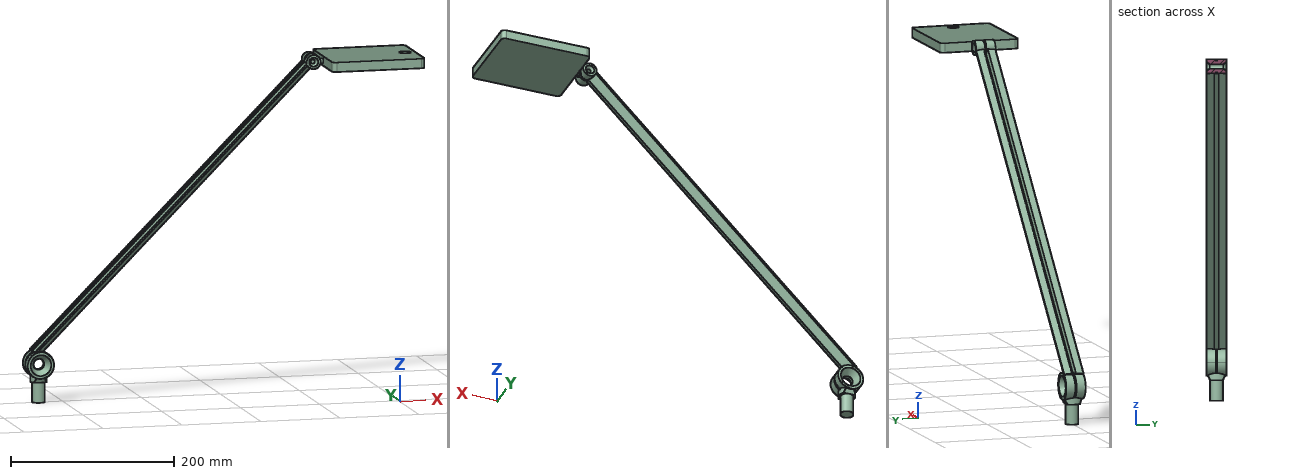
import cadquery as cq
import math

ARM_ANGLE = 45.0
WIDTH = 25.0
SLIT_WIDTH = 1.5
SLIT_DEPTH = 1.5

BASE_RADIUS = 16.7
BASE_BORE = 13.4
BASE_DISH = 26.0
BASE_DISH_DEPTH = 10.0
POST_DIAMETER = 16.0
POST_BOTTOM = -47.3
COLLAR_BOTTOM = -22.0
COLLAR_LENGTH = 20.2
COLLAR_FLARE_HEIGHT = 9.0

ARM_THICKNESS = 10.0
ARM_EDGE = 2.4
ARM_BOTTOM_WIDTH = 5.0
ARM_START = 5.9
ARM_CROWN = 0.8
ARM_GROOVE_WIDTH = 5.0
ARM_GROOVE_FLOOR = 2.0
ARM_GROOVE_DEPTH = 5.5

HEAD_X = 345.5
HEAD_RADIUS = 8.9
HEAD_BORE = 5.25
HEAD_DISH = 11.25
HEAD_DISH_DEPTH = 4.0

TOTAL_LENGTH = 493.64
TOTAL_HEIGHT = 419.16
PLATE_START = 360.0
PLATE_END = TOTAL_LENGTH - BASE_RADIUS
PLATE_WIDTH = 100.6
PLATE_THICKNESS = 12.0
PLATE_CORNER = 5.0
STEM_DIAMETER = 6.5
STEM_ENGAGEMENT = 1.0
HUB_DIAMETER = 9.0
HUB_REACH = 0.8
BUTTON_DIAMETER = 14.0
BUTTON_INSET = 12.5
BUTTON_LINE = 0.3

HEAD_Z = POST_BOTTOM + TOTAL_HEIGHT - HEAD_RADIUS
PLATE_Z = HEAD_Z - 0.9

COS = math.cos(math.radians(ARM_ANGLE))
SIN = math.sin(math.radians(ARM_ANGLE))
ARM_END = HEAD_X * COS + HEAD_Z * SIN
ARM_OFFSET = HEAD_Z * COS - HEAD_X * SIN


def y_cylinder(radius, length, x, z):
    """Cylinder along Y, centred on the XZ plane."""
    return cq.Workplane("XZ", origin=(x, length / 2, z)).circle(radius).extrude(length)


def knuckle(radius, x, z):
    """Cylinder along Y with a parting slit around its middle."""
    body = y_cylinder(radius, WIDTH, x, z)
    slit = y_cylinder(radius, SLIT_WIDTH, x, z).cut(
        y_cylinder(radius - SLIT_DEPTH, SLIT_WIDTH, x, z)
    )
    return body.cut(slit)


def dished_bore(bore, mouth, depth, x, z):
    """Bore along Y that opens into a cone at both faces."""
    half = WIDTH / 2
    profile = [
        (0, -half),
        (mouth / 2, -half),
        (bore / 2, depth - half),
        (bore / 2, half - depth),
        (mouth / 2, half),
        (0, half),
    ]
    return (
        cq.Workplane("XY")
        .polyline(profile)
        .close()
        .revolve(360, (0, 0, 0), (0, 1, 0))
        .translate((x, 0, z))
    )


def arm():
    """Straight bar from the base knuckle to the head pivot."""
    top = ARM_THICKNESS / 2
    plane = cq.Plane(
        origin=(ARM_START * COS - ARM_OFFSET * SIN, 0, ARM_START * SIN + ARM_OFFSET * COS),
        xDir=(0, 1, 0),
        normal=(COS, 0, SIN),
    )
    length = ARM_END - ARM_START
    bar = (
        cq.Workplane(plane)
        .moveTo(-WIDTH / 2, top)
        .threePointArc((0, top + ARM_CROWN), (WIDTH / 2, top))
        .lineTo(WIDTH / 2, top - ARM_EDGE)
        .lineTo(ARM_BOTTOM_WIDTH / 2, -top)
        .lineTo(-ARM_BOTTOM_WIDTH / 2, -top)
        .lineTo(-WIDTH / 2, top - ARM_EDGE)
        .close()
        .extrude(length)
    )
    groove_section = [
        (-ARM_GROOVE_WIDTH / 2, top + ARM_CROWN),
        (-ARM_GROOVE_FLOOR / 2, top - ARM_GROOVE_DEPTH),
        (ARM_GROOVE_FLOOR / 2, top - ARM_GROOVE_DEPTH),
        (ARM_GROOVE_WIDTH / 2, top + ARM_CROWN),
    ]
    groove = cq.Workplane(plane).polyline(groove_section).close().extrude(length)
    return bar.cut(groove)


def post():
    """Round post under the base knuckle, with a collar that widens up to the knuckle."""
    shaft = cq.Workplane("XY").circle(POST_DIAMETER / 2).extrude(POST_BOTTOM)
    flare_top = COLLAR_BOTTOM + COLLAR_FLARE_HEIGHT
    outline = [
        (-POST_DIAMETER / 2, COLLAR_BOTTOM),
        (POST_DIAMETER / 2, COLLAR_BOTTOM),
        (WIDTH / 2, flare_top),
        (-WIDTH / 2, flare_top),
    ]
    collar = (
        cq.Workplane("YZ", origin=(-COLLAR_LENGTH / 2, 0, 0))
        .polyline(outline)
        .close()
        .extrude(COLLAR_LENGTH)
    )
    plan = (
        cq.Workplane("XY", origin=(0, 0, COLLAR_BOTTOM))
        .ellipse(COLLAR_LENGTH / 2, WIDTH / 2)
        .extrude(-COLLAR_BOTTOM)
    )
    return shaft.union(collar.intersect(plan))


def head_stem():
    """Stem from the head knuckle to the plate, with a short hub at the knuckle."""
    start = cq.Workplane("YZ", origin=(HEAD_X, 0, PLATE_Z))
    stem = start.circle(STEM_DIAMETER / 2).extrude(PLATE_START + STEM_ENGAGEMENT - HEAD_X)
    hub = start.circle(HUB_DIAMETER / 2).extrude(HEAD_RADIUS + HUB_REACH)
    return stem.union(hub)


def plate():
    """Flat lamp plate with a ring groove that marks the button."""
    length = PLATE_END - PLATE_START
    body = (
        cq.Workplane("XY", origin=(PLATE_START + length / 2, 0, PLATE_Z))
        .box(length, PLATE_WIDTH, PLATE_THICKNESS)
        .edges("|Z")
        .fillet(PLATE_CORNER)
    )
    button_line = (
        cq.Workplane("XY", origin=(PLATE_END - BUTTON_INSET, 0, PLATE_Z + PLATE_THICKNESS / 2))
        .circle(BUTTON_DIAMETER / 2)
        .circle(BUTTON_DIAMETER / 2 - BUTTON_LINE)
        .extrude(-BUTTON_LINE)
    )
    return body.cut(button_line)


result = (
    knuckle(BASE_RADIUS, 0, 0)
    .union(post())
    .union(arm())
    .union(knuckle(HEAD_RADIUS, HEAD_X, HEAD_Z))
    .union(head_stem())
    .union(plate())
    .cut(dished_bore(BASE_BORE, BASE_DISH, BASE_DISH_DEPTH, 0, 0))
    .cut(dished_bore(HEAD_BORE, HEAD_DISH, HEAD_DISH_DEPTH, HEAD_X, HEAD_Z))
)